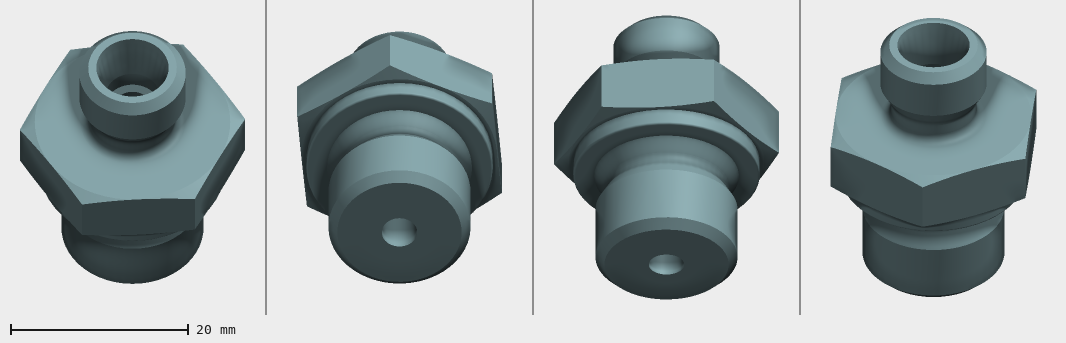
import cadquery as cq
import math

total_height = 30.5
hex_bottom = 13.97
hex_top = 20.5
collar_bottom = 12.02

across_flats = 22.02
hex_chamfer_angle = 15.0

stud_radius = 16.0 / 2
stud_chamfer = 1.0
stud_neck_radius = 6.85
stud_neck_height = 9.8
stud_neck_blend = 1.2
stud_flank_angle = 30.0
collar_flank_angle = 35.0
collar_radius = 21.0 / 2
collar_edge_fillet = 0.25

tube_end_radius = 12.0 / 2
tube_end_chamfer = 1.0
tube_neck_radius = 9.7 / 2
tube_neck_top = 22.8
tube_neck_blend = 1.0
tube_flank_angle = 30.0
hex_fillet = 1.0

bore_radius = 4.0 / 2
tube_socket_radius = 6.0 / 2
mouth_radius = 8.15 / 2
taper_half_angle = 12.0
socket_depth = 7.0


def revolve_profile(profile):
    """Turn a closed (radius, height) profile about the Z axis."""
    return profile.close().revolve(360, (0, 0, 0), (0, 1, 0))


def make_hexagon():
    """Hexagon with flats facing +X and -X, its corners turned off at both ends."""
    flat_radius = across_flats / 2
    corner_radius = flat_radius / math.cos(math.pi / 6)
    height = hex_top - hex_bottom
    prism = (
        cq.Workplane("XY", origin=(0, 0, hex_bottom))
        .polygon(6, 2 * corner_radius)
        .extrude(height)
        .rotate((0, 0, 0), (0, 0, 1), 30)
    )
    chamfer_drop = (corner_radius - flat_radius) * math.tan(math.radians(hex_chamfer_angle))
    envelope = revolve_profile(
        cq.Workplane("XZ")
        .moveTo(0, hex_bottom)
        .lineTo(flat_radius, hex_bottom)
        .lineTo(corner_radius, hex_bottom + chamfer_drop)
        .lineTo(corner_radius, hex_top - chamfer_drop)
        .lineTo(flat_radius, hex_top)
        .lineTo(0, hex_top)
    )
    return prism.intersect(envelope)


def blend_end(neck_radius, blend_radius, flank_angle):
    """Radius and axial distance, from the narrowest point, where a neck blend meets its flank."""
    angle = math.radians(flank_angle)
    return neck_radius + blend_radius * (1 - math.cos(angle)), blend_radius * math.sin(angle)


def make_lower_stud():
    """Threaded stud, rounded undercut and collar below the hexagon."""
    lower_radius, lower_rise = blend_end(stud_neck_radius, stud_neck_blend, stud_flank_angle)
    upper_radius, upper_rise = blend_end(stud_neck_radius, stud_neck_blend, collar_flank_angle)
    blend_bottom = stud_neck_height - lower_rise
    blend_top = stud_neck_height + upper_rise
    flank_height = (stud_radius - lower_radius) / math.tan(math.radians(stud_flank_angle))
    flank_width = (collar_bottom - blend_top) * math.tan(math.radians(collar_flank_angle))
    return revolve_profile(
        cq.Workplane("XZ")
        .lineTo(stud_radius - stud_chamfer, 0)
        .lineTo(stud_radius, stud_chamfer)
        .lineTo(stud_radius, blend_bottom - flank_height)
        .lineTo(lower_radius, blend_bottom)
        .threePointArc((stud_neck_radius, stud_neck_height), (upper_radius, blend_top))
        .lineTo(upper_radius + flank_width, collar_bottom)
        .lineTo(collar_radius - collar_edge_fillet, collar_bottom)
        .radiusArc((collar_radius, collar_bottom + collar_edge_fillet), -collar_edge_fillet)
        .lineTo(collar_radius, hex_bottom)
        .lineTo(0, hex_bottom)
    )


def make_upper_stud():
    """Threaded tube end with an undercut and a fillet onto the hexagon."""
    blend_radius, blend_rise = blend_end(tube_neck_radius, tube_neck_blend, tube_flank_angle)
    blend_top = tube_neck_top + blend_rise
    flank_height = (tube_end_radius - blend_radius) / math.tan(math.radians(tube_flank_angle))
    return revolve_profile(
        cq.Workplane("XZ")
        .moveTo(0, hex_top)
        .lineTo(tube_neck_radius + hex_fillet, hex_top)
        .radiusArc((tube_neck_radius, hex_top + hex_fillet), hex_fillet)
        .lineTo(tube_neck_radius, tube_neck_top)
        .radiusArc((blend_radius, blend_top), tube_neck_blend)
        .lineTo(tube_end_radius, blend_top + flank_height)
        .lineTo(tube_end_radius, total_height - tube_end_chamfer)
        .lineTo(tube_end_radius - tube_end_chamfer, total_height)
        .lineTo(0, total_height)
    )


def make_bore():
    """Through bore, tube socket and tapered mouth."""
    taper_depth = (mouth_radius - tube_socket_radius) / math.tan(math.radians(taper_half_angle))
    socket_floor = total_height - socket_depth
    return revolve_profile(
        cq.Workplane("XZ")
        .lineTo(bore_radius, 0)
        .lineTo(bore_radius, socket_floor)
        .lineTo(tube_socket_radius, socket_floor)
        .lineTo(tube_socket_radius, total_height - taper_depth)
        .lineTo(mouth_radius, total_height)
        .lineTo(0, total_height)
    )


body = make_hexagon().union(make_lower_stud()).union(make_upper_stud())
result = body.cut(make_bore())